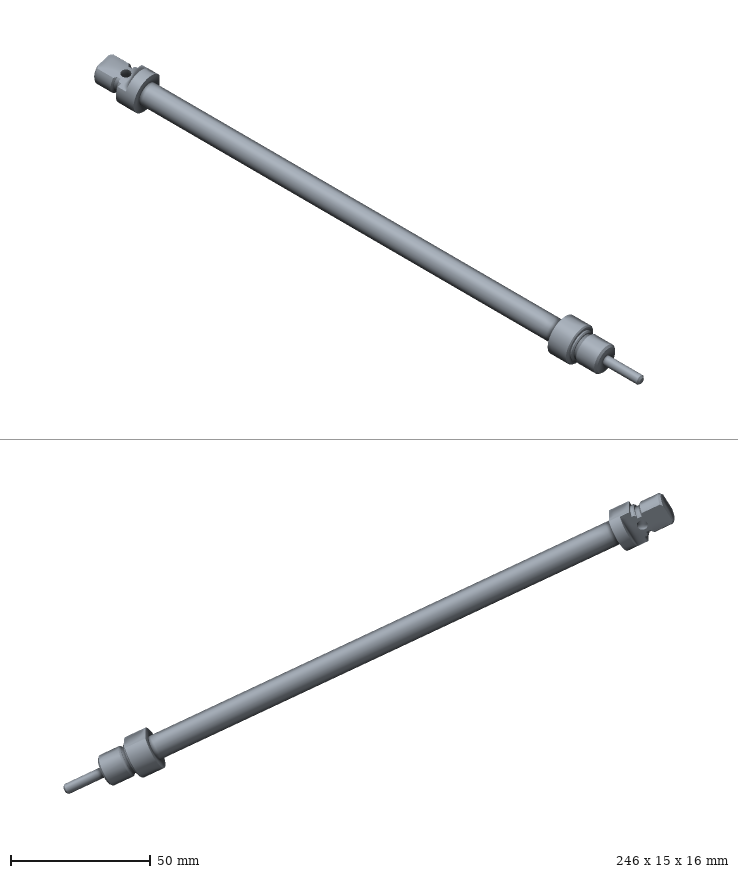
import cadquery as cq

total_length = 246.0
cap_diameter = 16.0
cap_width = 15.0
flat_offset = cap_width - cap_diameter / 2

thread_diameter = 12.0
neck_diameter = 10.3
boss_diameter = 12.5
boss_chamfer = 0.5
thread_root_chamfer = 0.7
thread_tip_chamfer = 0.79

rear_neck_start = 8.9
rear_neck_end = 10.5
rear_shoulder = 12.0
rear_cap_end = 20.2
tongue_end = 15.7
tongue_thickness = 8.0
pin_hole_diameter = 4.0
pin_hole_position = 10.3

barrel_diameter = 9.3
collar_length = 1.7

front_cap_start = 209.3
front_shoulder = 218.2
front_neck_start = 219.2
front_neck_end = 220.2
front_thread_end = 229.8
front_edge_chamfer = 0.5

rod_diameter = 4.0
rod_tip_chamfer = 0.7


def turned(profile):
    """Revolve a list of (x, diameter) steps about the X axis."""
    outline = cq.Workplane("XY").moveTo(profile[0][0], 0)
    for x, diameter in profile:
        outline = outline.lineTo(x, diameter / 2)
    return outline.lineTo(profile[-1][0], 0).close().revolve(360, (0, 0, 0), (1, 0, 0))


def box(x_start, x_end, y_start, y_end, z_start, z_end):
    """Box between two opposite corners."""
    size = (x_end - x_start, y_end - y_start, z_end - z_start)
    return cq.Workplane("XY").box(*size, centered=False).translate((x_start, y_start, z_start))


def cut_side_flat(cap):
    """Cut the flat along the +Y side of a cap."""
    return cap.cut(box(0, total_length, flat_offset, cap_diameter, -cap_diameter, cap_diameter))


def make_rear_cap():
    """Rear cap: flattened clevis tongue with a pin hole, shoulder and barrel collar."""
    cap = turned([
        (0, thread_diameter - 2 * thread_tip_chamfer),
        (thread_tip_chamfer, thread_diameter),
        (rear_neck_start - thread_root_chamfer, thread_diameter),
        (rear_neck_start, thread_diameter - 2 * thread_root_chamfer),
        (rear_neck_start, neck_diameter),
        (rear_neck_end, neck_diameter),
        (rear_neck_end, boss_diameter - 2 * boss_chamfer),
        (rear_neck_end + boss_chamfer, boss_diameter),
        (rear_shoulder, boss_diameter),
        (rear_shoulder, cap_diameter),
        (rear_cap_end, cap_diameter),
        (rear_cap_end, barrel_diameter),
        (rear_cap_end + collar_length, barrel_diameter),
    ])
    cap = cut_side_flat(cap)
    half = tongue_thickness / 2
    for z_start, z_end in ((half, cap_diameter), (-cap_diameter, -half)):
        cap = cap.cut(box(0, tongue_end, -cap_diameter, cap_diameter, z_start, z_end))
    hole = (
        cq.Workplane("XY").center(pin_hole_position, 0)
        .circle(pin_hole_diameter / 2).extrude(cap_diameter, both=True)
    )
    return cap.cut(hole)


def make_front_cap():
    """Front cap: barrel collar, body, neck and thread."""
    cap = turned([
        (front_cap_start - collar_length, barrel_diameter),
        (front_cap_start, barrel_diameter),
        (front_cap_start, cap_diameter),
        (front_shoulder - front_edge_chamfer, cap_diameter),
        (front_shoulder, cap_diameter - 2 * front_edge_chamfer),
        (front_shoulder, boss_diameter),
        (front_neck_start - boss_chamfer, boss_diameter),
        (front_neck_start, boss_diameter - 2 * boss_chamfer),
        (front_neck_start, neck_diameter),
        (front_neck_end, neck_diameter),
        (front_neck_end, thread_diameter - 2 * thread_root_chamfer),
        (front_neck_end + thread_root_chamfer, thread_diameter),
        (front_thread_end - thread_tip_chamfer, thread_diameter),
        (front_thread_end, thread_diameter - 2 * thread_tip_chamfer),
    ])
    return cut_side_flat(cap)


def make_barrel():
    """Plain round barrel between the two collars."""
    return turned([
        (rear_cap_end + collar_length, barrel_diameter),
        (front_cap_start - collar_length, barrel_diameter),
    ])


def make_rod():
    """Rod standing on the front face of the front cap."""
    return turned([
        (front_thread_end, rod_diameter),
        (total_length - rod_tip_chamfer, rod_diameter),
        (total_length, rod_diameter - 2 * rod_tip_chamfer),
    ])


rear_cap = make_rear_cap()
barrel = make_barrel()
front_cap = make_front_cap()
rod = make_rod()

result = cq.Compound.makeCompound([rear_cap.val(), barrel.val(), front_cap.val(), rod.val()])